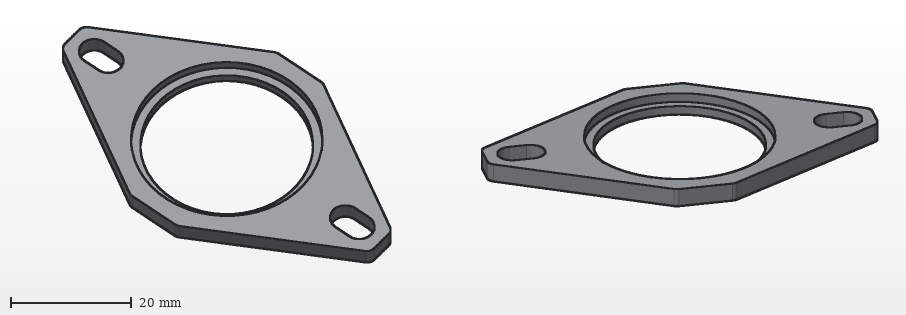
import cadquery as cq
import math

length = 66.3
width = 38.1
thickness = 3.2
side_angle = 30.0
side_flat = 9.95
corner_radius = 1.6

bore_diameter = 28.6
recess_diameter = 31.7
recess_depth = 1.6

slot_length = 8.0
slot_width = 5.05
slot_spacing = 53.85


def make_plate():
    """Eight-sided plate with rounded vertical corners."""
    half_length = length / 2
    half_width = width / 2
    half_flat = side_flat / 2
    side_rise = (half_length - half_flat) * math.tan(math.radians(side_angle))
    half_tip = half_width - side_rise
    outline = [
        (half_length, half_tip),
        (half_flat, half_width),
        (-half_flat, half_width),
        (-half_length, half_tip),
        (-half_length, -half_tip),
        (-half_flat, -half_width),
        (half_flat, -half_width),
        (half_length, -half_tip),
    ]
    plate = cq.Workplane("XY").polyline(outline).close().extrude(thickness)
    return plate.edges("|Z").fillet(corner_radius)


def cut_stepped_bore(plate):
    """Through bore with a wider recess in the top face."""
    return plate.faces(">Z").workplane(origin=(0, 0, 0)).cboreHole(
        bore_diameter, recess_diameter, recess_depth
    )


def cut_slots(plate):
    """Two through slots, one near each tip, running along X."""
    slots = (
        cq.Workplane("XY")
        .pushPoints([(-slot_spacing / 2, 0), (slot_spacing / 2, 0)])
        .slot2D(slot_length, slot_width)
        .extrude(thickness)
    )
    return plate.cut(slots)


result = cut_slots(cut_stepped_bore(make_plate()))